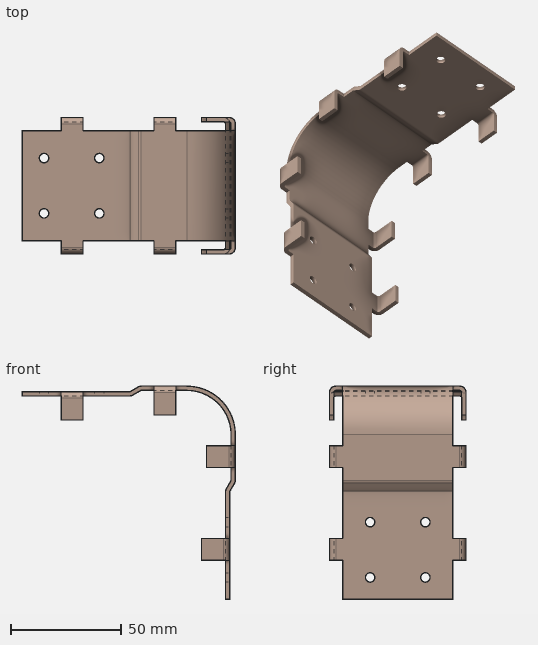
import cadquery as cq
import math

SIZE = 96.7
THICKNESS = 2.0
PLATE_WIDTH = 50.0
OVERALL_WIDTH = 62.0

CORNER_INNER_RADIUS = 20.0
CORNER_OUTER_RADIUS = CORNER_INNER_RADIUS + THICKNESS

JOGGLE_START = 48.8
JOGGLE_DEPTH = 2.5
JOGGLE_ANGLE = math.radians(30)
JOGGLE_INNER_RADIUS = 0.5
JOGGLE_OUTER_RADIUS = JOGGLE_INNER_RADIUS + THICKNESS

TAB_LENGTH = 10.0
TAB_INNER_RADIUS = 1.0
TAB_OUTER_RADIUS = TAB_INNER_RADIUS + THICKNESS
PAD_TAB_START = 17.7
PAD_TAB_REACH = 13.0
CORNER_TAB_START = 59.8
CORNER_TAB_REACH = 13.15

HOLE_DIAMETER = 4.2
HOLE_PITCH = 25.0
FIRST_HOLE_OFFSET = 10.0

PAD_TOP = SIZE - JOGGLE_DEPTH


def on_circle(center, radius, angle):
    """Point in XZ at an angle measured clockwise from straight up."""
    return (center[0] + radius * math.sin(angle), center[1] + radius * math.cos(angle))


def sheet_leg():
    """Horizontal leg of the sheet, ending where the corner arc begins."""
    bend_radii = JOGGLE_INNER_RADIUS + JOGGLE_OUTER_RADIUS
    bend_drop = bend_radii * (1 - math.cos(JOGGLE_ANGLE))
    ramp_run = (JOGGLE_DEPTH - bend_drop) / math.tan(JOGGLE_ANGLE)
    joggle_end = JOGGLE_START + bend_radii * math.sin(JOGGLE_ANGLE) + ramp_run

    lower_center = (JOGGLE_START, PAD_TOP + JOGGLE_INNER_RADIUS)
    upper_center = (joggle_end, SIZE - JOGGLE_OUTER_RADIUS)
    arc_start = SIZE - CORNER_OUTER_RADIUS
    full = JOGGLE_ANGLE
    half = JOGGLE_ANGLE / 2

    def lower(radius, angle):
        return on_circle(lower_center, radius, math.pi - angle)

    def upper(radius, angle):
        return on_circle(upper_center, radius, -angle)

    return (
        cq.Workplane("XZ")
        .moveTo(0, PAD_TOP)
        .lineTo(JOGGLE_START, PAD_TOP)
        .threePointArc(lower(JOGGLE_INNER_RADIUS, half), lower(JOGGLE_INNER_RADIUS, full))
        .lineTo(*upper(JOGGLE_OUTER_RADIUS, full))
        .threePointArc(upper(JOGGLE_OUTER_RADIUS, half), upper(JOGGLE_OUTER_RADIUS, 0))
        .lineTo(arc_start, SIZE)
        .lineTo(arc_start, SIZE - THICKNESS)
        .lineTo(*upper(JOGGLE_INNER_RADIUS, 0))
        .threePointArc(upper(JOGGLE_INNER_RADIUS, half), upper(JOGGLE_INNER_RADIUS, full))
        .lineTo(*lower(JOGGLE_OUTER_RADIUS, full))
        .threePointArc(lower(JOGGLE_OUTER_RADIUS, half), lower(JOGGLE_OUTER_RADIUS, 0))
        .lineTo(0, PAD_TOP - THICKNESS)
        .close()
        .extrude(PLATE_WIDTH / 2, both=True)
    )


def corner():
    """Quarter-round bend joining the two legs."""
    center = (SIZE - CORNER_OUTER_RADIUS, SIZE - CORNER_OUTER_RADIUS)
    middle = math.pi / 4
    end = math.pi / 2
    return (
        cq.Workplane("XZ")
        .moveTo(*on_circle(center, CORNER_OUTER_RADIUS, 0))
        .threePointArc(
            on_circle(center, CORNER_OUTER_RADIUS, middle),
            on_circle(center, CORNER_OUTER_RADIUS, end),
        )
        .lineTo(*on_circle(center, CORNER_INNER_RADIUS, end))
        .threePointArc(
            on_circle(center, CORNER_INNER_RADIUS, middle),
            on_circle(center, CORNER_INNER_RADIUS, 0),
        )
        .close()
        .extrude(PLATE_WIDTH / 2, both=True)
    )


def tab_pair(start, top, reach):
    """Channel-shaped strip across the plate whose two ends form the bent tabs."""
    outer = (
        cq.Workplane("XY")
        .box(TAB_LENGTH, OVERALL_WIDTH, reach, centered=(False, True, False))
        .edges("|X and >Z")
        .fillet(TAB_OUTER_RADIUS)
    )
    inner = (
        cq.Workplane("XY")
        .box(TAB_LENGTH, OVERALL_WIDTH - 2 * THICKNESS, reach - THICKNESS, centered=(False, True, False))
        .edges("|X and >Z")
        .fillet(TAB_INNER_RADIUS)
    )
    return outer.cut(inner).translate((start, 0, top - reach))


def mounting_holes():
    """Square pattern of four cutters through the mounting pad."""
    pattern_center = FIRST_HOLE_OFFSET + HOLE_PITCH / 2
    return (
        cq.Workplane("XY", origin=(pattern_center, 0, PAD_TOP - THICKNESS))
        .rarray(HOLE_PITCH, HOLE_PITCH, 2, 2)
        .circle(HOLE_DIAMETER / 2)
        .extrude(THICKNESS)
    )


horizontal_leg = (
    sheet_leg()
    .union(tab_pair(PAD_TAB_START, PAD_TOP, PAD_TAB_REACH))
    .union(tab_pair(CORNER_TAB_START, SIZE, CORNER_TAB_REACH))
    .cut(mounting_holes())
)

diagonal_normal = cq.Vector(1, 0, -1)
vertical_leg = horizontal_leg.mirror(diagonal_normal)

result = horizontal_leg.union(corner()).union(vertical_leg)